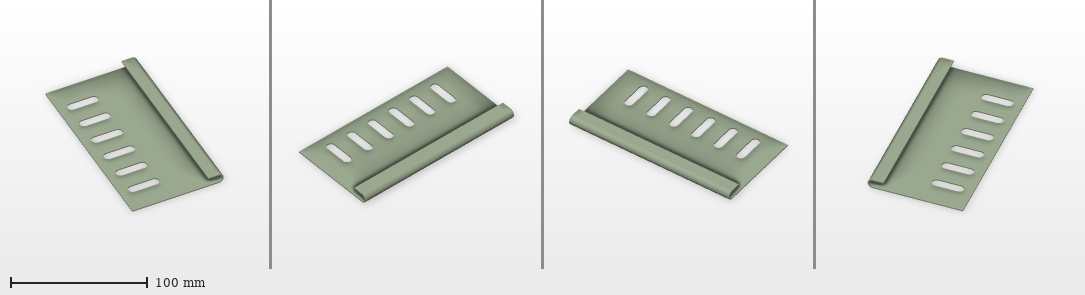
import cadquery as cq

length = 143.0
depth = 74.6
height = 8.0
sheet = 1.0

bend_radius = height / 2
inner_radius = bend_radius - sheet
lip_reach = 12.5

slot_count = 6
slot_pitch = 20.0
slot_width = 7.0
slot_length = 25.0
slot_edge_gap = 7.5

front_y = -depth / 2
back_y = depth / 2
bend_y = back_y - bend_radius
lip_y = back_y - lip_reach


def hooked_sheet():
    """Flat sheet whose back edge is folded over into a short lip."""
    profile = (
        cq.Workplane("YZ", origin=(-length / 2, 0, 0))
        .moveTo(front_y, 0)
        .lineTo(bend_y, 0)
        .threePointArc((back_y, bend_radius), (bend_y, height))
        .lineTo(lip_y, height)
        .lineTo(lip_y, height - sheet)
        .lineTo(bend_y, height - sheet)
        .threePointArc((bend_y + inner_radius, bend_radius), (bend_y, sheet))
        .lineTo(front_y, sheet)
        .close()
    )
    return profile.extrude(length)


def slot_cutters():
    """Evenly spaced round-ended slots running front to back."""
    slot_y = front_y + slot_edge_gap + slot_length / 2
    return (
        cq.Workplane("XY")
        .center(0, slot_y)
        .rarray(slot_pitch, 1.5, slot_count, 1)
        .slot2D(slot_length, slot_width, 90)
        .extrude(sheet)
    )


result = hooked_sheet().cut(slot_cutters())